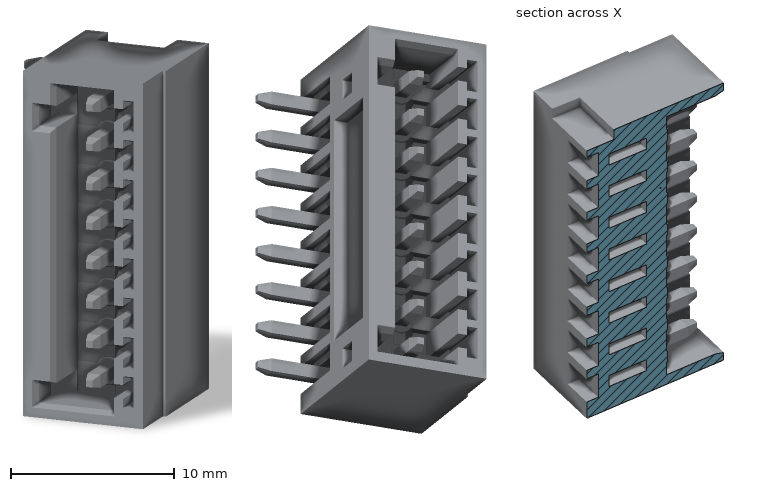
import cadquery as cq

HEIGHT = 21.9
DEPTH = 10.1
WIDTH = 8.1
FRONT_WIDTH = 7.9
FRONT_LENGTH = 3.18
TOP = HEIGHT / 2

PIN_COUNT = 8
PITCH = 2.5
PIN_SIZE = 0.83
PIN_TIP_SIZE = 0.44
PIN_TAPER = 0.8
TAIL_LENGTH = 3.5
TAIL_Y = 8.85
POST_X = 3.95
POST_TIP_Y = 0.99
POST_LEFT = POST_X - PIN_SIZE / 2
POST_RIGHT = POST_X + PIN_SIZE / 2
TAIL_BACK = TAIL_Y + PIN_SIZE / 2
PIN_HEIGHTS = [(i - (PIN_COUNT - 1) / 2) * PITCH for i in range(PIN_COUNT)]

CAVITY_LEFT = 1.93
CAVITY_RIGHT = 5.98
CAVITY_FLOOR = 4.2
END_WALL = 0.79
CAVITY_TOP = TOP - END_WALL
LEAD_IN = 0.18
LEAD_IN_LENGTH = 0.64

STRIP_Y = 4.16
RIB_Y = 4.12
RIB_HEIGHT = 0.9
BOSS_Y = 4.07
BOSS_TIP_RADIUS = 0.83
BOSS_BASE_RADIUS = 1.3
POCKET_FLOOR = 4.75
POCKET_TOP = TOP - 1.3

T_HEAD_LEFT = 6.57
T_HEAD_RIGHT = 7.3
T_HEAD_HEIGHT = 2.01

KEY_LEFT = 0.79
KEY_FLOOR = 3.92
KEY_LEAD_IN = 0.22
KEY_HEIGHT = 1.35
UPPER_KEY_TOP = TOP - 2.21
UPPER_KEY = (UPPER_KEY_TOP - KEY_HEIGHT, UPPER_KEY_TOP)
LOWER_KEY = (-CAVITY_TOP, -CAVITY_TOP + KEY_HEIGHT)
WINDOW_FRONT = 2.52
WINDOW_HEIGHT = 1.31
UPPER_WINDOW = (UPPER_KEY_TOP - WINDOW_HEIGHT, UPPER_KEY_TOP)
LOWER_WINDOW = (-CAVITY_TOP, -CAVITY_TOP + WINDOW_HEIGHT)

RECESS_DEPTH = 0.9
RECESS_Y = (0.85, 5.12)
RECESS_Z = (-TOP + 3.05, TOP - 4.42)

SLOT_FRONT = 5.72
SLOT_HEIGHT = 1.8
SLOT_DEPTH = 0.5
GROOVE_RADIUS = 0.85

NOTCH_FRONT_X = (1.51, 5.98)
NOTCH_BACK_X = (1.47, 6.05)
NOTCH_LENGTH = 2.0
NOTCH_DEPTH = 0.77


def block(x_range, y_range, z_range):
    """Box spanning three (low, high) ranges."""
    (x0, x1), (y0, y1), (z0, z1) = x_range, y_range, z_range
    return cq.Workplane("XY").box(x1 - x0, y1 - y0, z1 - z0, centered=False).translate((x0, y0, z0))


def around(center, size):
    """Range of a given size about a centre."""
    return (center - size / 2, center + size / 2)


def tapered_mouth(x_range, z_range, left, bottom, top):
    """Opening that narrows inward from Y = 0, wider at the mouth by an offset on three sides."""
    (x0, x1), (z0, z1) = x_range, z_range
    mouth = cq.Wire.makePolygon(
        [cq.Vector(x, 0, z) for x, z in
         [(x0 - left, z0 - bottom), (x1, z0 - bottom), (x1, z1 + top), (x0 - left, z1 + top)]],
        close=True,
    )
    throat = cq.Wire.makePolygon(
        [cq.Vector(x, LEAD_IN_LENGTH, z) for x, z in [(x0, z0), (x1, z0), (x1, z1), (x0, z1)]],
        close=True,
    )
    return cq.Workplane(obj=cq.Solid.makeLoft([mouth, throat], True))


def make_shell():
    shell = block((0, WIDTH), (0, DEPTH), (-TOP, TOP))
    return shell.cut(block((FRONT_WIDTH, WIDTH), (0, FRONT_LENGTH), (-TOP, TOP)))


def make_cavity():
    x_range = (CAVITY_LEFT, CAVITY_RIGHT)
    z_range = (-CAVITY_TOP, CAVITY_TOP)
    cavity = block(x_range, (0, CAVITY_FLOOR), z_range)
    cavity = cavity.union(tapered_mouth(x_range, z_range, LEAD_IN, LEAD_IN, LEAD_IN))
    pocket = block((POST_RIGHT, CAVITY_RIGHT), (0, POCKET_FLOOR), (-POCKET_TOP, POCKET_TOP))
    return cavity.union(pocket)


def make_keyway(z_range, bottom_lead_in):
    x_range = (KEY_LEFT, CAVITY_LEFT)
    keyway = block(x_range, (0, KEY_FLOOR), z_range)
    return keyway.union(tapered_mouth(x_range, z_range, KEY_LEAD_IN, bottom_lead_in, KEY_LEAD_IN))


def make_window(z_range):
    return block((0, CAVITY_LEFT), (WINDOW_FRONT, KEY_FLOOR), z_range)


def make_t_slot(z):
    stem = block((CAVITY_RIGHT, T_HEAD_RIGHT), (0, RIB_Y), around(z, RIB_HEIGHT))
    return stem.union(block((T_HEAD_LEFT, T_HEAD_RIGHT), (0, RIB_Y), around(z, T_HEAD_HEIGHT)))


def make_tail_slot(z):
    """Wide shallow slot, a narrow groove down to the post, and a channel behind the tail."""
    slot = block((0, SLOT_DEPTH), (SLOT_FRONT, DEPTH), around(z, SLOT_HEIGHT))
    groove = block((0, POST_LEFT), (SLOT_FRONT, TAIL_BACK), around(z, PIN_SIZE))
    groove = groove.edges("|Z and >X and <Y").fillet(GROOVE_RADIUS)
    channel = block((0, POST_RIGHT), (TAIL_BACK, DEPTH), around(z, SLOT_HEIGHT))
    return slot.union(groove).union(channel)


def make_notch():
    front_y = DEPTH - NOTCH_LENGTH
    outline = [
        (NOTCH_FRONT_X[0], front_y),
        (NOTCH_FRONT_X[1], front_y),
        (NOTCH_BACK_X[1], DEPTH),
        (NOTCH_BACK_X[0], DEPTH),
    ]
    return cq.Workplane("XY").workplane(offset=TOP - NOTCH_DEPTH).polyline(outline).close().extrude(NOTCH_DEPTH)


def make_boss(z):
    """Conical boss around a post, rising from the pocket floor."""
    return cq.Workplane(obj=cq.Solid.makeCone(
        BOSS_BASE_RADIUS, BOSS_TIP_RADIUS, POCKET_FLOOR - BOSS_Y,
        cq.Vector(POST_X, POCKET_FLOOR, z), cq.Vector(0, -1, 0),
    ))


def make_rib(z):
    return block((CAVITY_LEFT, CAVITY_RIGHT), (RIB_Y, POCKET_FLOOR), around(z, RIB_HEIGHT))


def make_bar(plane, length):
    """Square bar along the plane normal, tapering at its far end."""
    bar = cq.Workplane(plane).rect(PIN_SIZE, PIN_SIZE).extrude(length - PIN_TAPER)
    return (
        bar.faces(cq.selectors.DirectionMinMaxSelector(plane.zDir, True))
        .workplane()
        .rect(PIN_SIZE, PIN_SIZE)
        .workplane(offset=PIN_TAPER)
        .rect(PIN_TIP_SIZE, PIN_TIP_SIZE)
        .loft(combine=True)
    )


def make_pin(z):
    """Right-angle contact: a tail toward -X and a post toward -Y."""
    tail_plane = cq.Plane(origin=(POST_RIGHT, TAIL_Y, z), xDir=(0, 1, 0), normal=(-1, 0, 0))
    post_plane = cq.Plane(origin=(POST_X, TAIL_BACK, z), xDir=(1, 0, 0), normal=(0, -1, 0))
    tail = make_bar(tail_plane, POST_RIGHT + TAIL_LENGTH)
    return tail.union(make_bar(post_plane, TAIL_BACK - POST_TIP_Y))


result = make_shell().cut(make_cavity())
result = result.union(block((POST_LEFT, POST_RIGHT), (STRIP_Y, CAVITY_FLOOR), (-CAVITY_TOP, CAVITY_TOP)))
for pin_z in PIN_HEIGHTS:
    result = result.union(make_rib(pin_z)).union(make_boss(pin_z))

result = result.cut(make_keyway(UPPER_KEY, KEY_LEAD_IN)).cut(make_keyway(LOWER_KEY, LEAD_IN))
result = result.cut(make_window(UPPER_WINDOW)).cut(make_window(LOWER_WINDOW))
result = result.cut(block((0, RECESS_DEPTH), RECESS_Y, RECESS_Z))
result = result.cut(make_notch())

for pin_z in PIN_HEIGHTS:
    result = result.cut(make_t_slot(pin_z)).cut(make_tail_slot(pin_z))
for pin_z in PIN_HEIGHTS:
    result = result.union(make_pin(pin_z))